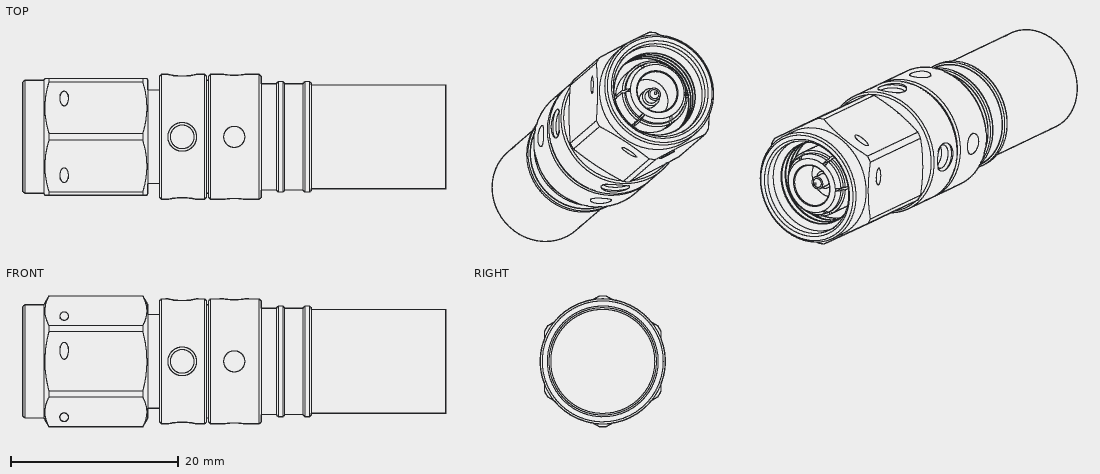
import cadquery as cq
import math


overall_length = 50.6
nut_collar_length = 2.55
nut_end = 15.0
front_sleeve_start = 16.35
front_sleeve_end = 22.0
rear_sleeve_start = 22.2
rear_sleeve_end = 28.55
front_ring_start = 30.35
rear_ring_start = 33.55
ring_width = 0.95

collar_radius = 6.8
neck_radius = 5.6
sleeve_radius = 7.5
sleeve_gap_radius = 6.8
body_radius = 6.4
ring_radius = 6.65
tube_radius = 6.2

collar_chamfer = 0.25
sleeve_chamfer = 0.25
ring_chamfer = 0.2

hex_sides = 6
hex_across_flats = 13.95
hex_corner_radius = 7.85
hex_chamfer_angle = 30.0

wire_hole_diameter = 1.0
wire_hole_x = 4.95
wire_hole_offset = 6.7
wire_hole_corners = (30, 150, 270)

mouth_radius = 6.0
mouth_chamfer = 0.3
mouth_depth = 1.45
socket_radius = 5.05
socket_cone_end = 2.2
socket_floor = 5.05
groove_pitch = 0.9
groove_depth = 0.4
groove_width = 0.7
groove_count = 3

contact_front = 1.05
contact_nose_radius = 3.35
contact_nose_length = 0.6
contact_radius = 3.75
contact_bore_radius = 2.5
contact_bore_chamfer = 0.1

contact_collar_start = 2.2
contact_collar_radius = 4.05
slot_count = 6
slot_width = 0.3

pin_radius = 0.75
pin_shoulder_x = 2.35
pin_cone_radius = 0.55
pin_tip_radius = 0.15
pin_tip_x = 1.8
pin_root_radius = 1.05
pin_root_x = 3.8

holes_per_sleeve = 4
front_hole_x = 19.1
front_hole_diameter = 2.85
front_hole_rim_diameter = 3.45
front_hole_depth = 1.4
rear_hole_x = 25.3
rear_hole_diameter = 2.55
rear_hole_depth = 2.0
drill_point_angle = 118.0


def turned(x_start, x_end, radius, front_chamfer=0.0, rear_chamfer=0.0):
    """Solid cylinder along X with optional 45 degree edge breaks."""
    body = cq.Workplane("YZ", origin=(x_start, 0, 0)).circle(radius).extrude(x_end - x_start)
    if front_chamfer:
        body = body.faces("<X").chamfer(front_chamfer)
    if rear_chamfer:
        body = body.faces(">X").chamfer(rear_chamfer)
    return body


def revolved(profile):
    """Turn a list of (x, radius) points about the X axis."""
    return cq.Workplane("XY").polyline(profile).close().revolve(360, (0, 0, 0), (1, 0, 0))


def hex_nut():
    """Hexagon with its corners turned down and both ends chamfered."""
    hex_length = nut_end - nut_collar_length
    across_corners = hex_across_flats / math.cos(math.pi / hex_sides)
    prism = (
        cq.Workplane("YZ", origin=(nut_collar_length, 0, 0))
        .transformed(rotate=(0, 0, 90))
        .polygon(hex_sides, across_corners)
        .extrude(hex_length)
    )
    chamfer_length = (hex_corner_radius - collar_radius) * math.tan(math.radians(hex_chamfer_angle))
    envelope = revolved([
        (nut_collar_length, 0),
        (nut_collar_length, collar_radius),
        (nut_collar_length + chamfer_length, hex_corner_radius),
        (nut_end - chamfer_length, hex_corner_radius),
        (nut_end, collar_radius),
        (nut_end, 0),
    ])
    return prism.intersect(envelope)


def wire_holes():
    """Holes square to the corner radius, just under each chosen corner."""
    drill = (
        cq.Workplane("XZ", origin=(wire_hole_x, 0, wire_hole_offset))
        .circle(wire_hole_diameter / 2)
        .extrude(hex_across_flats, both=True)
    )
    holes = cq.Workplane("XY")
    for corner in wire_hole_corners:
        holes = holes.add(drill.rotate((0, 0, 0), (1, 0, 0), corner - 90))
    return holes.combine()


def around_axis(shape, count):
    """Repeat a shape evenly around the X axis."""
    shapes = cq.Workplane("XY")
    for index in range(count):
        shapes = shapes.add(shape.rotate((0, 0, 0), (1, 0, 0), index * 360 / count))
    return shapes.combine()


def socket_space():
    """Opening of the nut: chamfered mouth, cone and grooved bore."""
    throat_radius = mouth_radius - mouth_chamfer
    profile = [
        (0, 0),
        (0, mouth_radius),
        (mouth_chamfer, throat_radius),
        (mouth_depth, throat_radius),
        (socket_cone_end, socket_radius),
    ]
    for index in range(groove_count):
        groove_start = socket_cone_end + index * groove_pitch + (groove_pitch - groove_width)
        profile += [
            (groove_start, socket_radius),
            (groove_start + groove_width / 2, socket_radius + groove_depth),
            (groove_start + groove_width, socket_radius),
        ]
    profile += [(socket_floor, socket_radius), (socket_floor, 0)]
    return revolved(profile)


def contact_tube():
    """Hollow contact with a tapered nose, raised collar and lengthwise slots."""
    tube_profile = [
        (contact_front, contact_bore_radius + contact_bore_chamfer),
        (contact_front, contact_nose_radius),
        (contact_front + contact_nose_length, contact_radius),
        (contact_collar_start, contact_radius),
        (contact_collar_start, contact_collar_radius),
        (socket_floor, contact_collar_radius),
        (socket_floor, contact_bore_radius),
        (contact_front + contact_bore_chamfer, contact_bore_radius),
    ]
    slot_height = contact_collar_radius - contact_nose_radius
    slot = cq.Workplane("XY").box(
        socket_floor - contact_front, slot_height, slot_width, centered=(False, False, True)
    ).translate((contact_front, contact_nose_radius, 0))
    return revolved(tube_profile).cut(around_axis(slot, slot_count))


def centre_pin():
    """Shouldered pin with a conical tip and a thicker root."""
    return revolved([
        (pin_tip_x, 0),
        (pin_tip_x, pin_tip_radius),
        (pin_shoulder_x, pin_cone_radius),
        (pin_shoulder_x, pin_radius),
        (pin_root_x, pin_radius),
        (pin_root_x, pin_root_radius),
        (socket_floor, pin_root_radius),
        (socket_floor, 0),
    ])


def drill_tool(x, profile):
    """Radial cutter at station x, turned from (radius, height above axis) points."""
    outline = cq.Workplane("XZ", origin=(x, 0, 0)).polyline(profile).close()
    return outline.revolve(360, (0, 0, 0), (0, 1, 0))


def front_sleeve_holes():
    """Flat-bottomed holes with a 45 degree countersunk rim."""
    radius = front_hole_diameter / 2
    rim_radius = front_hole_rim_diameter / 2
    rim_height = math.sqrt(sleeve_radius**2 - rim_radius**2)
    floor = sleeve_radius - front_hole_depth
    tool = drill_tool(front_hole_x, [
        (0, floor),
        (radius, floor),
        (radius, rim_height - (rim_radius - radius)),
        (rim_radius, rim_height),
        (rim_radius, sleeve_radius),
        (0, sleeve_radius),
    ])
    return around_axis(tool, holes_per_sleeve)


def rear_sleeve_holes():
    """Plain drilled holes with a conical bottom."""
    radius = rear_hole_diameter / 2
    shoulder = sleeve_radius - rear_hole_depth
    point_length = radius / math.tan(math.radians(drill_point_angle / 2))
    tool = drill_tool(rear_hole_x, [
        (0, shoulder - point_length),
        (radius, shoulder),
        (radius, sleeve_radius),
        (0, sleeve_radius),
    ])
    return around_axis(tool, holes_per_sleeve)


nut = turned(0, nut_end, collar_radius, front_chamfer=collar_chamfer).union(hex_nut()).cut(wire_holes())
neck = turned(nut_end, front_sleeve_start, neck_radius)
front_sleeve = turned(front_sleeve_start, front_sleeve_end, sleeve_radius, sleeve_chamfer, sleeve_chamfer)
sleeve_gap = turned(front_sleeve_end, rear_sleeve_start, sleeve_gap_radius)
rear_sleeve = turned(rear_sleeve_start, rear_sleeve_end, sleeve_radius, sleeve_chamfer, sleeve_chamfer)
body = turned(rear_sleeve_end, rear_ring_start, body_radius)
tube = turned(rear_ring_start, overall_length, tube_radius)

result = nut.union(neck).union(front_sleeve).union(sleeve_gap).union(rear_sleeve).union(body).union(tube)
for ring_start in (front_ring_start, rear_ring_start):
    ring = turned(ring_start, ring_start + ring_width, ring_radius, ring_chamfer, ring_chamfer)
    result = result.union(ring)
result = result.cut(socket_space()).union(contact_tube()).union(centre_pin())
result = result.cut(front_sleeve_holes()).cut(rear_sleeve_holes())